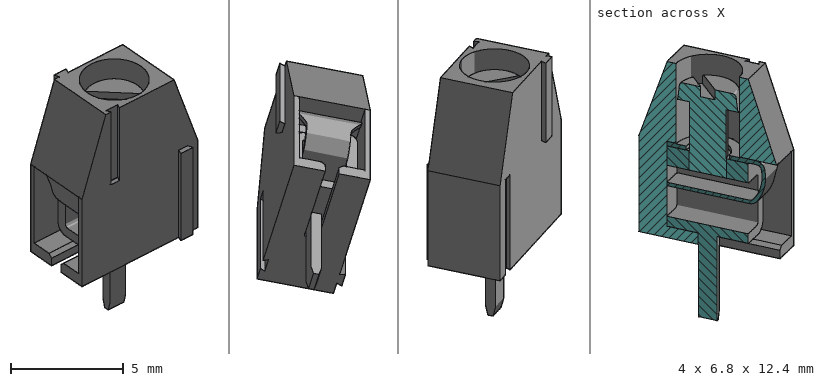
import cadquery as cq
import math

overall_width = 4.0
housing_width = 3.5
housing_depth = 6.8
housing_height = 8.8
shoulder_height = 4.8
top_depth = 4.0
floor_thickness = 0.6

rib_height = (overall_width - housing_width) / 2
rib_root_width = 0.52
rib_outer_width = 0.71
groove_depth = 0.22
groove_undersize = 0.04
front_rib_y = -1.45
rear_rib_y = 2.53

cage_width = 3.0
cage_length = 3.99
strip_thickness = 0.5
cage_inner_height = 2.52
cage_inner_radius = 0.15
cage_outer_radius = 0.5
inner_flap_radius = 0.7
pin_width = 0.5
pin_depth = 0.92
pin_length = 3.6
pin_tip_width = 0.25
pin_tip_length = 0.48

pin_slot_width = 0.63
pin_slot_chamfer = 0.17

leaf_thickness = 0.2
leaf_front_y = -2.85
leaf_top_radius = 0.4
leaf_front_radius = 2.1
leaf_bottom_radius = 0.5
leaf_top_angle = math.radians(12.0)
leaf_bottom_angle = math.radians(37.1)
leaf_flare_bottom = 3.8
leaf_flare_top = 4.46
leaf_flare_radius = 0.5
leaf_hole_diameter = 2.1

bore_diameter = 3.1
head_top = 7.91
head_height = 0.89
head_top_diameter = 2.78
head_base_diameter = 3.0
head_fillet = 0.2
driver_slot_width = 0.5
driver_slot_depth = 0.5
driver_slot_angle = 45.0
shank_diameter = 1.8

cage_inner_width = cage_width - 2 * strip_thickness
cage_bottom = floor_thickness
cage_inner_bottom = cage_bottom + strip_thickness
cage_inner_top = cage_inner_bottom + cage_inner_height
inner_flap_top = cage_inner_top + strip_thickness
cage_top = inner_flap_top + strip_thickness
leaf_top = cage_top + leaf_thickness


def block(x_range, y_range, z_range):
    """Box between the given limits."""
    size = [high - low for low, high in (x_range, y_range, z_range)]
    corner = (x_range[0], y_range[0], z_range[0])
    return cq.Workplane("XY").box(*size, centered=False).translate(corner)


def extrude_along_y(profile, y_start, y_end):
    """Move an XZ profile to y_start and extrude it towards +Y."""
    return profile.extrude(y_start - y_end).translate((0, y_start, 0))


def dovetail(start_x, direction, center_y, root_width, outer_width, depth, z_range):
    """Upright dovetail bar that widens from start_x in the given X direction."""
    end_x = start_x + direction * depth
    outline = [
        (start_x, center_y - root_width / 2),
        (end_x, center_y - outer_width / 2),
        (end_x, center_y + outer_width / 2),
        (start_x, center_y + root_width / 2),
    ]
    bar = cq.Workplane("XY").polyline(outline).close().extrude(z_range[1] - z_range[0])
    return bar.translate((0, 0, z_range[0]))


def make_housing():
    half_width = housing_width / 2
    half_depth = housing_depth / 2
    side_outline = [
        (-half_depth, 0),
        (half_depth, 0),
        (half_depth, shoulder_height),
        (top_depth / 2, housing_height),
        (-top_depth / 2, housing_height),
        (-half_depth, shoulder_height),
    ]
    body = cq.Workplane("YZ").polyline(side_outline).close().extrude(half_width, both=True)

    chamber_x = (-cage_width / 2, cage_width / 2)
    body = body.cut(block(chamber_x, (-half_depth, cage_length / 2), (floor_thickness, leaf_top)))

    bore = cq.Workplane("XY").workplane(offset=leaf_top).circle(bore_diameter / 2)
    body = body.cut(bore.extrude(housing_height - leaf_top))

    half_slot = pin_slot_width / 2
    half_mouth = half_slot + pin_slot_chamfer
    chamfer_start = floor_thickness - pin_slot_chamfer
    slot_outline = [
        (-half_slot, 0),
        (half_slot, 0),
        (half_slot, chamfer_start),
        (half_mouth, floor_thickness),
        (-half_mouth, floor_thickness),
        (-half_slot, chamfer_start),
    ]
    slot_profile = cq.Workplane("XZ").polyline(slot_outline).close()
    body = body.cut(extrude_along_y(slot_profile, -half_depth, pin_depth / 2))

    upper = (shoulder_height, housing_height)
    lower = (0, shoulder_height)
    groove_root = rib_root_width - groove_undersize
    groove_outer = rib_outer_width - groove_undersize
    for direction, center_y, z_range in ((-1, front_rib_y, upper), (1, rear_rib_y, lower)):
        side_x = direction * half_width
        body = body.union(
            dovetail(side_x, direction, center_y, rib_root_width, rib_outer_width, rib_height, z_range)
        )
        body = body.cut(
            dovetail(-side_x, direction, center_y, groove_root, groove_outer, groove_depth, z_range)
        )
    return body


def make_cage():
    half_width = cage_width / 2
    radius = cage_outer_radius
    midpoint_inset = 1 - math.sqrt(0.5)
    inset = radius * midpoint_inset
    flap_inset = inner_flap_radius * midpoint_inset
    outline = (
        cq.Workplane("XZ")
        .moveTo(-half_width + radius, cage_bottom)
        .lineTo(half_width - radius, cage_bottom)
        .threePointArc((half_width - inset, cage_bottom + inset), (half_width, cage_bottom + radius))
        .lineTo(half_width, cage_top - radius)
        .threePointArc((half_width - inset, cage_top - inset), (half_width - radius, cage_top))
        .lineTo(-half_width, cage_top)
        .lineTo(-half_width, inner_flap_top)
        .lineTo(-half_width + inner_flap_radius, inner_flap_top)
        .threePointArc(
            (-half_width + flap_inset, inner_flap_top - flap_inset),
            (-half_width, inner_flap_top - inner_flap_radius),
        )
        .lineTo(-half_width, cage_bottom + radius)
        .threePointArc((-half_width + inset, cage_bottom + inset), (-half_width + radius, cage_bottom))
        .close()
    )
    cage = extrude_along_y(outline, -cage_length / 2, cage_length / 2)

    inner_x = (-cage_inner_width / 2, cage_inner_width / 2)
    passage_y = (-cage_length / 2, cage_length / 2)
    passage = block(inner_x, passage_y, (cage_inner_bottom, cage_inner_top))
    cage = cage.cut(passage.edges("|Y").fillet(cage_inner_radius))

    screw_hole = cq.Workplane("XY").workplane(offset=cage_inner_top).circle(shank_diameter / 2)
    cage = cage.cut(screw_hole.extrude(cage_top - cage_inner_top))

    tip_start = -pin_length + pin_tip_length
    pin_outline = [
        (-pin_width / 2, cage_bottom),
        (pin_width / 2, cage_bottom),
        (pin_width / 2, tip_start),
        (pin_tip_width / 2, -pin_length),
        (-pin_tip_width / 2, -pin_length),
        (-pin_width / 2, tip_start),
    ]
    pin_profile = cq.Workplane("XZ").polyline(pin_outline).close()
    return cage.union(extrude_along_y(pin_profile, -pin_depth / 2, pin_depth / 2))


def leaf_bend_centers():
    """Bend centers (y, z) of the top, front and bottom bends, each tangent to the next."""
    top_center_z = leaf_top - leaf_top_radius
    front_y = leaf_front_y + leaf_front_radius
    top_gap = leaf_front_radius - leaf_top_radius
    top_center = (front_y - top_gap * math.cos(leaf_top_angle), top_center_z)
    front_z = top_center_z - top_gap * math.sin(leaf_top_angle)
    bottom_gap = leaf_front_radius - leaf_bottom_radius
    bottom_center = (
        front_y - bottom_gap * math.cos(leaf_bottom_angle),
        front_z - bottom_gap * math.sin(leaf_bottom_angle),
    )
    return top_center, (front_y, front_z), bottom_center


def make_leaf():
    top_center, front_center, bottom_center = leaf_bend_centers()
    back_y = cage_length / 2

    def on_bend(center, radius, angle):
        """Point on a bend, with the angle measured upwards from the -Y direction."""
        return (center[0] - radius * math.cos(angle), center[1] + radius * math.sin(angle))

    def bend_points(inset):
        """Ends and midpoints of the three bends from top to bottom, inset from the outer face."""
        bends = (
            (top_center, leaf_top_radius, math.pi / 2, leaf_top_angle),
            (front_center, leaf_front_radius, leaf_top_angle, -leaf_bottom_angle),
            (bottom_center, leaf_bottom_radius, -leaf_bottom_angle, -math.pi / 2),
        )
        return [
            [on_bend(center, radius - inset, angle) for angle in (start, (start + end) / 2, end)]
            for center, radius, start, end in bends
        ]

    outer_bends = bend_points(0)
    inner_bends = bend_points(leaf_thickness)
    tongue_bottom = bottom_center[1] - leaf_bottom_radius
    profile = cq.Workplane("YZ").moveTo(back_y, leaf_top).lineTo(*outer_bends[0][0])
    for start, middle, end in outer_bends:
        profile = profile.threePointArc(middle, end)
    profile = profile.lineTo(back_y, tongue_bottom).lineTo(back_y, tongue_bottom + leaf_thickness)
    profile = profile.lineTo(*inner_bends[-1][-1])
    for start, middle, end in reversed(inner_bends):
        profile = profile.threePointArc(middle, start)
    profile = profile.lineTo(back_y, cage_top).close()
    leaf = profile.extrude(cage_width / 2, both=True)

    flare_outline = [
        (-cage_inner_width / 2, tongue_bottom),
        (cage_inner_width / 2, tongue_bottom),
        (cage_inner_width / 2, leaf_flare_bottom),
        (cage_width / 2, leaf_flare_top),
        (cage_width / 2, leaf_top),
        (-cage_width / 2, leaf_top),
        (-cage_width / 2, leaf_flare_top),
        (-cage_inner_width / 2, leaf_flare_bottom),
    ]
    flare = extrude_along_y(cq.Workplane("XZ").polyline(flare_outline).close(), leaf_front_y, back_y)
    for side in (-1, 1):
        corner = (side * cage_inner_width / 2, (leaf_front_y + back_y) / 2, leaf_flare_bottom)
        flare = flare.edges(cq.selectors.NearestToPointSelector(corner)).fillet(leaf_flare_radius)
    leaf = leaf.intersect(flare)

    hole = cq.Workplane("XY").workplane(offset=cage_top).circle(leaf_hole_diameter / 2)
    return leaf.cut(hole.extrude(leaf_thickness))


def make_screw():
    head_base = head_top - head_height
    shank_end = cage_inner_top
    half_outline = [
        (0, head_top),
        (head_top_diameter / 2, head_top),
        (head_base_diameter / 2, head_base),
        (shank_diameter / 2, head_base),
        (shank_diameter / 2, shank_end),
        (0, shank_end),
    ]
    screw = cq.Workplane("XZ").polyline(half_outline).close().revolve(360, (0, 0, 0), (0, 1, 0))
    screw = screw.faces(">Z").edges().fillet(head_fillet)

    half_length = bore_diameter / 2
    half_slot = driver_slot_width / 2
    slot_z = (head_top - driver_slot_depth, head_top)
    slot = block((-half_length, half_length), (-half_slot, half_slot), slot_z)
    return screw.cut(slot.rotate((0, 0, 0), (0, 0, 1), driver_slot_angle))


housing = make_housing()
cage = make_cage()
leaf = make_leaf()
screw = make_screw()

bodies = (housing, cage, leaf, screw)
result = cq.Compound.makeCompound([body.solids().val() for body in bodies])